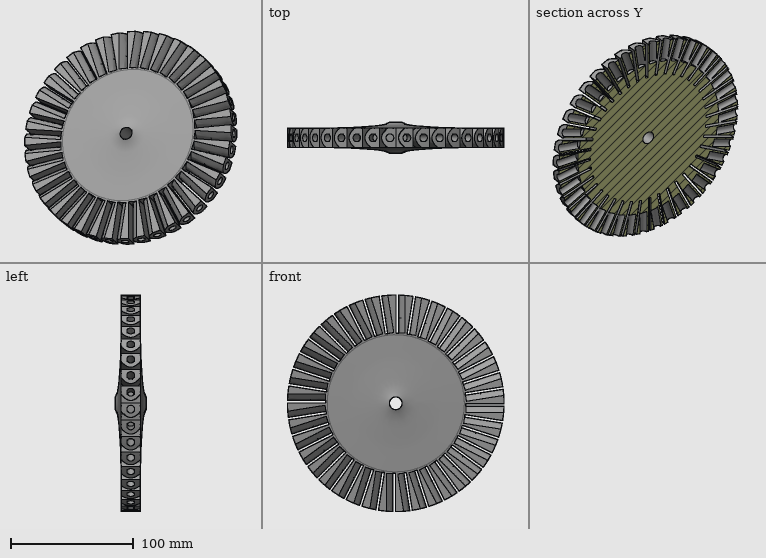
import cadquery as cq

outer_diameter = 176.53
hub_thickness = 25.4
rim_thickness = 15.875
web_radius = 55.88
bore_diameter = 10.16
web_curve_points = [(9.0, 11.0), (18.0, 9.7), (34.0, 8.6)]

tooth_count = 40
slot_floor_radius = 57.15
slot_wall_offset = 0.4
slot_throat = 1.9
slot_mouth = 7.0

hole_diameter = 6.35
hole_offset = 4.76
hole_depth = 19.05

outer_radius = outer_diameter / 2
bore_radius = bore_diameter / 2
rim_half = rim_thickness / 2
hub_half = hub_thickness / 2
tooth_angle = 360 / tooth_count
clearance = 1.0


def wheel_blank():
    """Disc with a hub that flares out on both faces, including the bore."""
    front_curve = [(radius, -half) for radius, half in reversed(web_curve_points)]
    front_curve.append((bore_radius, -hub_half))
    back_curve = web_curve_points + [(web_radius, rim_half)]
    profile = (
        cq.Workplane("XY")
        .moveTo(bore_radius, hub_half)
        .spline(back_curve, includeCurrent=True)
        .lineTo(outer_radius, rim_half)
        .lineTo(outer_radius, -rim_half)
        .lineTo(web_radius, -rim_half)
        .spline(front_curve, includeCurrent=True)
        .close()
    )
    return profile.revolve(360, (0, 0, 0), (0, 1, 0))


def slot_cutter():
    """Slot at the top of the wheel: one flat wall, one wall bulging as a parabola."""
    mouth_x = slot_wall_offset + slot_mouth
    throat_x = slot_wall_offset + slot_throat
    return (
        cq.Workplane("XY", origin=(0, 0, slot_floor_radius))
        .moveTo(slot_wall_offset, -rim_half)
        .lineTo(mouth_x, -rim_half)
        .bezier([(mouth_x, -rim_half), (throat_x, -rim_half / 2), (throat_x, 0)])
        .bezier([(throat_x, 0), (throat_x, rim_half / 2), (mouth_x, rim_half)])
        .lineTo(slot_wall_offset, rim_half)
        .close()
        .extrude(outer_radius - slot_floor_radius + clearance)
    )


def tip_hole_cutter():
    """Flat-bottomed hole parallel to the flat wall of the tooth."""
    return (
        cq.Workplane("XY", origin=(-hole_offset, 0, outer_radius - hole_depth))
        .circle(hole_diameter / 2)
        .extrude(hole_depth + clearance)
    )


tooth_cutters = [slot_cutter().val(), tip_hole_cutter().val()]
cutters = []
for index in range(tooth_count):
    for cutter in tooth_cutters:
        cutters.append(cutter.rotate((0, 0, 0), (0, 1, 0), index * tooth_angle))

result = cq.Workplane(wheel_blank().val().cut(*cutters))